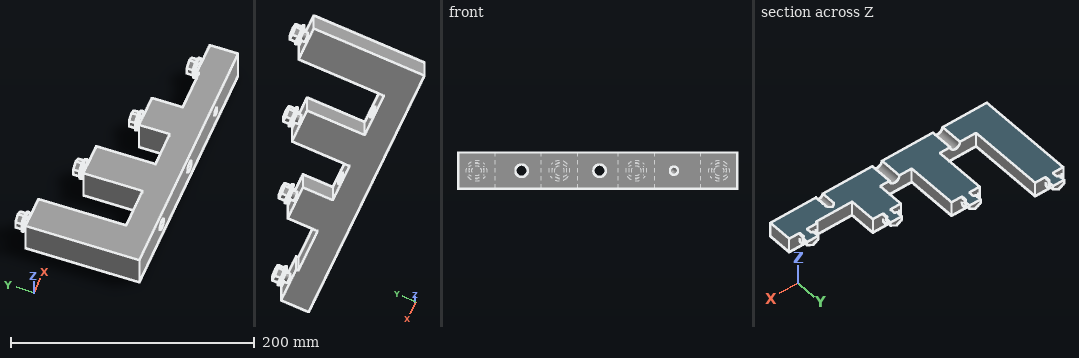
import cadquery as cq
import math

THICKNESS = 30.0
BAR_DEPTH = 23.0
ARM_WIDTH = 30.0
OUTER_GAP = 38.0
MIDDLE_GAP = 33.0
LONGEST_ARM = 100.0
ARM_STEP = 25.0

GAPS = [OUTER_GAP, MIDDLE_GAP, OUTER_GAP]
ARM_LEFTS = [sum(GAPS[:i]) + i * ARM_WIDTH for i in range(len(GAPS) + 1)]
ARM_LENGTHS = [LONGEST_ARM - i * ARM_STEP for i in range(len(ARM_LEFTS))]
LENGTH = ARM_LEFTS[-1] + ARM_WIDTH
MID_HEIGHT = THICKNESS / 2

THROUGH_HOLE_DIAMETER = 10.0
THROUGH_HOLE_XS = [52.0, 116.0]
BLIND_HOLE_DIAMETER = 6.8
BLIND_HOLE_X = 177.0
BLIND_HOLE_DEPTH = 15.0
DRILL_POINT_ANGLE = 118.0

SHANK_DIAMETER = 8.0
WASHER_DIAMETER = 17.0
WASHER_THICKNESS = 0.8
WASHER_STANDOFF = 5.2
COLLAR_DIAMETER = 12.0
COLLAR_THICKNESS = 1.0
HEAD_ACROSS_FLATS = 12.0
HEAD_HEIGHT = 5.3
HEX_SIDES = 6


def make_bracket():
    body = cq.Workplane("XY").box(LENGTH, BAR_DEPTH, THICKNESS, centered=False)
    for left, arm_length in zip(ARM_LEFTS, ARM_LENGTHS):
        arm = cq.Workplane("XY").box(ARM_WIDTH, arm_length, THICKNESS, centered=False)
        body = body.union(arm.translate((left, 0, 0)))
    return body


def cylinder_along_y(x, y, diameter, length):
    center = cq.Vector(x, y, MID_HEIGHT)
    return cq.Workplane(cq.Solid.makeCylinder(diameter / 2, length, center, cq.Vector(0, 1, 0)))


def make_blind_hole():
    radius = BLIND_HOLE_DIAMETER / 2
    tip_length = radius / math.tan(math.radians(DRILL_POINT_ANGLE / 2))
    tip_start = cq.Vector(BLIND_HOLE_X, BLIND_HOLE_DEPTH, MID_HEIGHT)
    tip = cq.Solid.makeCone(radius, 0, tip_length, tip_start, cq.Vector(0, 1, 0))
    return cylinder_along_y(BLIND_HOLE_X, 0, BLIND_HOLE_DIAMETER, BLIND_HOLE_DEPTH).union(cq.Workplane(tip))


def make_screw(x, arm_end):
    washer_y = arm_end + WASHER_STANDOFF
    collar_y = washer_y + WASHER_THICKNESS
    head_y = collar_y + COLLAR_THICKNESS
    shank = cylinder_along_y(x, arm_end, SHANK_DIAMETER, head_y - arm_end)
    washer = cylinder_along_y(x, washer_y, WASHER_DIAMETER, WASHER_THICKNESS)
    collar = cylinder_along_y(x, collar_y, COLLAR_DIAMETER, COLLAR_THICKNESS)
    across_corners = HEAD_ACROSS_FLATS / math.cos(math.pi / HEX_SIDES)
    head_plane = cq.Plane(origin=(x, head_y, MID_HEIGHT), xDir=(0, 0, 1), normal=(0, 1, 0))
    head = cq.Workplane(head_plane).polygon(HEX_SIDES, across_corners).extrude(HEAD_HEIGHT)
    return shank.union(washer).union(collar).union(head)


result = make_bracket()
for hole_x in THROUGH_HOLE_XS:
    result = result.cut(cylinder_along_y(hole_x, 0, THROUGH_HOLE_DIAMETER, BAR_DEPTH))
result = result.cut(make_blind_hole())
for left, arm_length in zip(ARM_LEFTS, ARM_LENGTHS):
    result = result.union(make_screw(left + ARM_WIDTH / 2, arm_length))